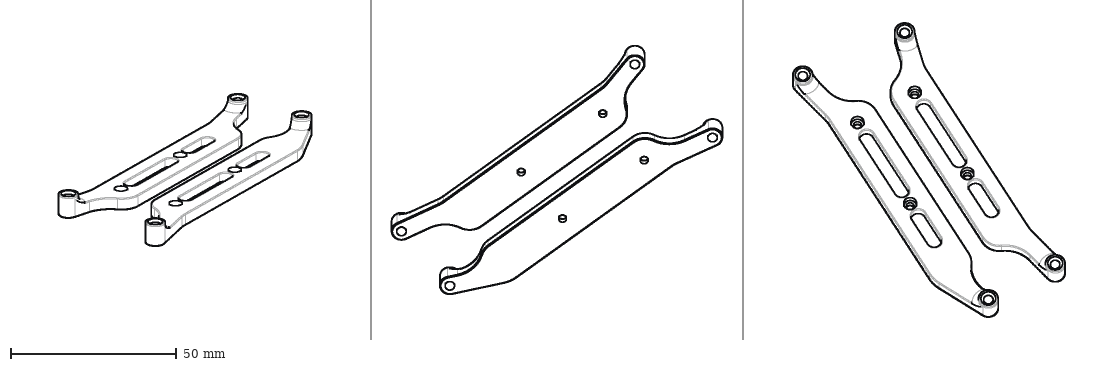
import cadquery as cq
import math

overall_length = 99.5
boss_diameter = 6.1
boss_radius = boss_diameter / 2
bracket_width = 13.9
bracket_gap = 6.2
outer_edge = bracket_gap / 2 + bracket_width

plate_thickness = 4.0
boss_height = 7.0
edge_chamfer = 0.3
top_fillet = 0.3

boss_reach = overall_length / 2 - boss_radius
short_arm_offset = 3.0
inset_boss_offset = 10.5
boss_hole_diameter = 2.9
boss_countersink = 0.8
boss_flare = 2.0

top_elbow_reach = 31.4
bottom_elbow_reach = 31.8
elbow_radius = 9.95
neck_radius = 9.95
shoulder_radius = 6.0
top_shoulder_reach = 26.7
bottom_shoulder_reach = 26.9
inset_shoulder_reach = 29.3

screw_line = bracket_width / 2
screw_positions = (5.9, -25.8)
screw_hole_diameter = 2.4
counterbore_diameter = 4.0
counterbore_depth = 2.0
pocket_width = 4.5
pocket_spans = ((8.5, 22.5), (-22.6, 3.0))
pocket_depth = 3.0


def arm_points(boss, elbow_reach, shoulder_reach):
    """Tangent points of one arm, from the outer edge round the boss to the inner edge.

    X is measured in from the outer edge and Y outwards along the arm.
    """
    boss_center = cq.Vector(*boss)
    shoulder_center = cq.Vector(bracket_width - shoulder_radius, shoulder_reach)
    elbow = cq.Vector(0, elbow_reach)

    to_boss = boss_center - elbow
    flank_angle = math.atan2(to_boss.y, to_boss.x) + math.asin(boss_radius / to_boss.Length)
    along = cq.Vector(math.cos(flank_angle), math.sin(flank_angle))
    inward = cq.Vector(along.y, -along.x)

    elbow_cut = elbow_radius * math.tan(abs(flank_angle - math.pi / 2) / 2)
    boss_outer = boss_center - inward * boss_radius
    boss_inner = boss_center + inward * boss_radius

    center_distance = neck_radius + shoulder_radius
    offset_start = boss_inner + inward * neck_radius - shoulder_center
    across = offset_start.dot(inward)
    slide = math.sqrt(center_distance**2 - across**2) - offset_start.dot(along)
    neck_start = boss_inner + along * slide
    neck_center = neck_start + inward * neck_radius
    neck_end = shoulder_center + (neck_center - shoulder_center) * (shoulder_radius / center_distance)

    return [
        elbow - cq.Vector(0, elbow_cut),
        elbow + along * elbow_cut,
        boss_outer,
        boss_inner,
        neck_start,
        neck_end,
        shoulder_center + cq.Vector(shoulder_radius, 0),
    ]


def bracket_outline(top_arm, bottom_arm):
    """Closed outline of straight edges and tangent arcs round both arms."""
    arm_kinds = ["arc", "line", "arc", "line", "arc", "arc"]
    top = arm_points(*top_arm)
    bottom = [cq.Vector(p.x, -p.y) for p in reversed(arm_points(*bottom_arm))]
    kinds = arm_kinds + ["line"] + arm_kinds[::-1]
    points = top + bottom

    outline = cq.Workplane("XY").moveTo(bottom[-1].x, bottom[-1].y).lineTo(top[0].x, top[0].y)
    for kind, point in zip(kinds, points[1:]):
        if kind == "line":
            outline = outline.lineTo(point.x, point.y)
        else:
            outline = outline.tangentArcPoint((point.x, point.y), relative=False)
    return outline.close()


def arm_clearance(arm):
    """Half ring cut on the plate side of a boss, leaving a foot that flares down to the plate."""
    center_x, center_y = arm[0]
    flare_radius = boss_radius + boss_flare
    flare_top = plate_thickness + boss_flare
    ring_radius = 2 * flare_radius
    sag = boss_flare * (1 - math.sqrt(0.5))
    profile = (
        cq.Workplane("XZ")
        .moveTo(ring_radius, plate_thickness)
        .lineTo(flare_radius, plate_thickness)
        .threePointArc((boss_radius + sag, plate_thickness + sag), (boss_radius, flare_top))
        .lineTo(boss_radius, boss_height)
        .lineTo(ring_radius, boss_height)
        .close()
    )
    half_ring = profile.revolve(180, (0, 0), (0, 1))

    _, _, boss_outer, boss_inner, *_ = arm_points(*arm)
    across = boss_inner - boss_outer
    turn = math.degrees(math.atan2(across.y, across.x))
    return half_ring.rotate((0, 0, 0), (0, 0, 1), turn + 180).translate((center_x, center_y, 0))


def boss_end(full_height, center, clearance):
    """Boss with a rounded rim and its flared foot, taken from the outline at full height."""
    foot_radius = boss_radius + boss_flare
    foot_limit = cq.Workplane("XY", origin=(*center, 0)).circle(foot_radius).extrude(boss_height)
    return full_height.intersect(foot_limit).cut(clearance).faces(">Z").edges().fillet(top_fillet)


def boss_hole(center):
    """Through hole with a countersunk mouth."""
    hole_radius = boss_hole_diameter / 2
    profile = cq.Workplane("XZ").polyline([
        (0, 0),
        (hole_radius, 0),
        (hole_radius, boss_height - boss_countersink),
        (hole_radius + boss_countersink, boss_height),
        (0, boss_height),
    ]).close()
    return profile.revolve(360, (0, 0), (0, 1)).translate((*center, 0))


def screw_hole(y):
    """Through hole with a counterbore from the plate's top face."""
    hole = cq.Workplane("XY").circle(screw_hole_diameter / 2).extrude(plate_thickness)
    counterbore = (
        cq.Workplane("XY", origin=(0, 0, plate_thickness))
        .circle(counterbore_diameter / 2)
        .extrude(-counterbore_depth)
    )
    return hole.union(counterbore).translate((screw_line, y, 0))


def pocket(low, high):
    """Blind slot cut from the plate's top face."""
    return (
        cq.Workplane("XY", origin=(screw_line, (low + high) / 2, plate_thickness))
        .slot2D(high - low, pocket_width, 90)
        .extrude(-pocket_depth)
    )


def make_bracket(top_arm, bottom_arm):
    """Bracket with its outer edge on X = 0 and its width towards +X."""
    bracket = bracket_outline(top_arm, bottom_arm).extrude(plate_thickness)
    for low, high in pocket_spans:
        bracket = bracket.cut(pocket(low, high))
    bracket = bracket.faces(">Z").edges().fillet(top_fillet).faces("<Z").chamfer(edge_chamfer)
    full_height = bracket_outline(top_arm, bottom_arm).extrude(boss_height).faces("<Z").chamfer(edge_chamfer)

    bottom_x, bottom_y = bottom_arm[0]
    ends = [
        (top_arm[0], arm_clearance(top_arm)),
        ((bottom_x, -bottom_y), arm_clearance(bottom_arm).mirror("XZ")),
    ]
    for center, clearance in ends:
        bracket = bracket.union(boss_end(full_height, center, clearance))
    for center, _ in ends:
        bracket = bracket.cut(boss_hole(center))
    for y in screw_positions:
        bracket = bracket.cut(screw_hole(y))
    return bracket


top_arm = ((0, boss_reach), top_elbow_reach, top_shoulder_reach)
inset_arm = ((inset_boss_offset, boss_reach), top_elbow_reach, inset_shoulder_reach)
short_arm = ((0, boss_reach - short_arm_offset), bottom_elbow_reach, bottom_shoulder_reach)
long_arm = ((0, boss_reach), bottom_elbow_reach, bottom_shoulder_reach)

left_bracket = make_bracket(top_arm, short_arm).translate((-outer_edge, 0, 0))
right_bracket = make_bracket(inset_arm, long_arm).mirror("YZ").translate((outer_edge, 0, 0))

result = cq.Compound.makeCompound([left_bracket.val(), right_bracket.val()])